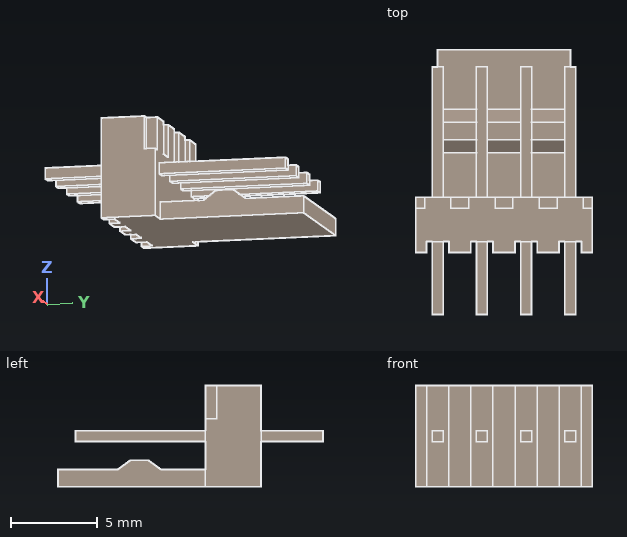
import cadquery as cq

PIN_COUNT = 4
PITCH = 2.54
PIN_SIZE = 0.64
PIN_FRONT_LENGTH = 3.56
PIN_REAR_LENGTH = 7.48

HOUSING_WIDTH = PIN_COUNT * PITCH
HOUSING_DEPTH = 3.2
HOUSING_HEIGHT = 5.84
PIN_HEIGHT = HOUSING_HEIGHT / 2

GROOVE_WIDTH = PITCH / 2
GROOVE_DEPTH = 0.64

NOTCH_WIDTH = 1.02
NOTCH_DEPTH = 0.64
NOTCH_HEIGHT = 1.91

OVERALL_LENGTH = 15.24
PLATE_WIDTH = 7.66
PLATE_LENGTH = OVERALL_LENGTH - PIN_FRONT_LENGTH - HOUSING_DEPTH
PLATE_THICKNESS = 1.0
RIDGE_HEIGHT = 0.54
RIDGE_BASE_LENGTH = 2.5
RIDGE_TOP_LENGTH = 1.02
RIDGE_CENTER_FROM_TIP = 4.68

PIN_POSITIONS = [(i - (PIN_COUNT - 1) / 2) * PITCH for i in range(PIN_COUNT)]
NOTCH_POSITIONS = [(i - PIN_COUNT / 2) * PITCH for i in range(PIN_COUNT + 1)]


def box_at(x_center, y_start, z_start, width, depth, height):
    """Box centred on x_center that grows toward +Y and +Z from its start."""
    box = cq.Workplane("XY").box(width, depth, height, centered=(True, False, False))
    return box.translate((x_center, y_start, z_start))


def make_housing():
    housing = box_at(0, 0, 0, HOUSING_WIDTH, HOUSING_DEPTH, HOUSING_HEIGHT)
    for x in PIN_POSITIONS:
        housing = housing.cut(box_at(x, 0, 0, GROOVE_WIDTH, GROOVE_DEPTH, HOUSING_HEIGHT))
    notch_y = HOUSING_DEPTH - NOTCH_DEPTH
    notch_z = HOUSING_HEIGHT - NOTCH_HEIGHT
    for x in NOTCH_POSITIONS:
        housing = housing.cut(box_at(x, notch_y, notch_z, NOTCH_WIDTH, NOTCH_DEPTH, NOTCH_HEIGHT))
    return housing


def make_plate():
    """Side profile of plate and ridge, extruded symmetrically across X."""
    tip_y = HOUSING_DEPTH + PLATE_LENGTH
    ridge_y = tip_y - RIDGE_CENTER_FROM_TIP
    ridge_z = PLATE_THICKNESS + RIDGE_HEIGHT
    profile = [
        (HOUSING_DEPTH, 0),
        (tip_y, 0),
        (tip_y, PLATE_THICKNESS),
        (ridge_y + RIDGE_BASE_LENGTH / 2, PLATE_THICKNESS),
        (ridge_y + RIDGE_TOP_LENGTH / 2, ridge_z),
        (ridge_y - RIDGE_TOP_LENGTH / 2, ridge_z),
        (ridge_y - RIDGE_BASE_LENGTH / 2, PLATE_THICKNESS),
        (HOUSING_DEPTH, PLATE_THICKNESS),
    ]
    return cq.Workplane("YZ").polyline(profile).close().extrude(PLATE_WIDTH / 2, both=True)


def make_pin(x):
    length = PIN_FRONT_LENGTH + HOUSING_DEPTH + PIN_REAR_LENGTH
    return box_at(x, -PIN_FRONT_LENGTH, PIN_HEIGHT - PIN_SIZE / 2, PIN_SIZE, length, PIN_SIZE)


result = make_housing().union(make_plate())
for pin_x in PIN_POSITIONS:
    result = result.union(make_pin(pin_x))